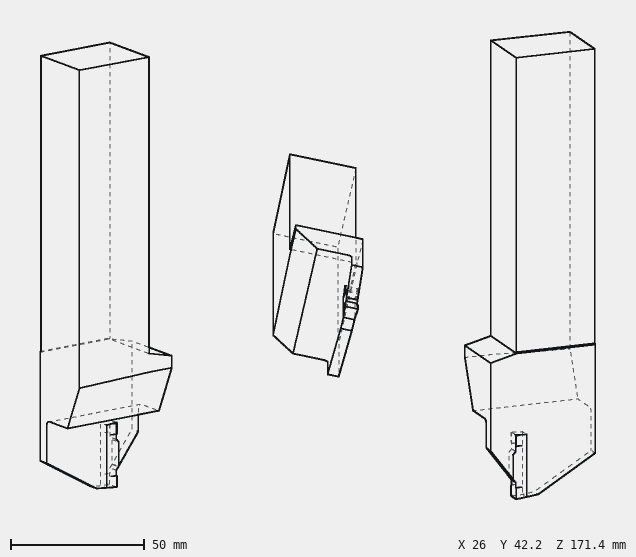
import cadquery as cq


total_length = 171.4
shank_depth = 31.7
head_depth = 42.2
side_overhang = 0.43
overall_width = 26.0
holder_width = overall_width - side_overhang
side_draft = 0.5
shank_setback = 0.43

shoulder_z = 56.5
head_front_top_z = 54.0
head_front_bottom_z = 19.9
head_back_bottom_z = 14.4
blade_tip_y = 23.0
blade_tip_z = 0.9
blade_thickness = 4.3
blade_root_z = 30.8
blade_root_radius = 1.7
side_slope_top_z = 49.3
side_slope_bottom_x = 17.5

insert_length = 25.0
insert_back_y = 27.6
insert_edge_y = 32.0
insert_middle_y = 33.0
insert_end_relief = 0.3
rise_start_z = 6.5
rise_end_z = 7.7
corner_chamfer = 0.3
back_overhang = 0.3
cutting_length = 4.5
relief_end_y = 28.3
relief_inner_y = 29.6


def extrude_side_outline(points, x_start, x_end):
    """Extrude a (Y, Z) outline between two X positions."""
    return cq.Workplane("YZ", origin=(x_start, 0, 0)).polyline(points).close().extrude(x_end - x_start)


def make_insert_blank():
    """Flat insert with a raised middle, symmetrical about its half length."""
    outline = [
        (insert_back_y, insert_end_relief),
        (insert_edge_y, 0),
        (insert_edge_y, rise_start_z),
        (insert_middle_y, rise_end_z),
        (insert_middle_y, insert_length - rise_end_z),
        (insert_edge_y, insert_length - rise_start_z),
        (insert_edge_y, insert_length),
        (insert_back_y, insert_length - insert_end_relief),
    ]
    return extrude_side_outline(outline, 0, blade_thickness)


def cutting_section(relief_y, overhang):
    """Cross-section that widens from the insert sides to the cutting edge."""
    return [
        (0, relief_y),
        (blade_thickness, relief_y),
        (blade_thickness + overhang, insert_edge_y),
        (-overhang, insert_edge_y),
    ]


def make_cutting_head():
    """Wedge with side relief, trimmed to the sloping end of the insert."""
    wedge = (
        cq.Workplane("XY")
        .polyline(cutting_section(relief_end_y, side_overhang)).close()
        .workplane(offset=cutting_length)
        .polyline(cutting_section(relief_inner_y, back_overhang)).close()
        .loft(ruled=True, combine=True)
    )
    end_envelope = extrude_side_outline(
        [
            (insert_back_y, insert_end_relief),
            (insert_edge_y, 0),
            (insert_edge_y, cutting_length),
            (insert_back_y, cutting_length),
        ],
        -side_overhang,
        blade_thickness + side_overhang,
    )
    left = -side_overhang
    right = blade_thickness + side_overhang
    corner_envelope = (
        cq.Workplane("XZ")
        .polyline([
            (left + corner_chamfer, 0),
            (right - corner_chamfer, 0),
            (right, corner_chamfer),
            (right, cutting_length),
            (left, cutting_length),
            (left, corner_chamfer),
        ])
        .close()
        .extrude(-head_depth)
    )
    return wedge.intersect(end_envelope).intersect(corner_envelope)


def make_insert(blank):
    """Insert blank with a cutting head at both ends."""
    lower_head = make_cutting_head()
    upper_head = lower_head.mirror("XY", (0, 0, insert_length / 2))
    return blank.union(lower_head).union(upper_head)


def make_holder(insert_blank):
    """Shank, head and thin blade in one piece, with a pocket for the insert."""
    head = extrude_side_outline(
        [
            (0, head_back_bottom_z),
            (blade_tip_y, blade_tip_z),
            (insert_back_y, insert_end_relief),
            (insert_edge_y, rise_start_z),
            (head_depth, head_front_bottom_z),
            (head_depth, head_front_top_z),
            (shank_depth, shoulder_z),
            (0, shoulder_z),
        ],
        0,
        holder_width,
    )

    shank = (
        cq.Workplane("XZ")
        .polyline([
            (0, shoulder_z),
            (holder_width, shoulder_z),
            (holder_width, total_length),
            (shank_setback, total_length),
            (shank_setback, shoulder_z + shank_setback),
        ])
        .close()
        .extrude(-shank_depth)
    )

    width_profile = (
        cq.Workplane("XZ")
        .moveTo(0, 0)
        .lineTo(blade_thickness, 0)
        .lineTo(blade_thickness, blade_root_z - blade_root_radius)
        .radiusArc((blade_thickness + blade_root_radius, blade_root_z), blade_root_radius)
        .lineTo(side_slope_bottom_x, blade_root_z)
        .lineTo(holder_width, side_slope_top_z)
        .lineTo(holder_width, total_length)
        .lineTo(0, total_length)
        .close()
        .extrude(-head_depth)
    )
    draft_envelope = (
        cq.Workplane("XY")
        .polyline([
            (0, 0),
            (holder_width - side_draft, 0),
            (holder_width, shank_depth),
            (holder_width, head_depth),
            (0, head_depth),
        ])
        .close()
        .extrude(total_length)
    )
    return head.union(shank).intersect(width_profile).intersect(draft_envelope).cut(insert_blank)


insert_blank = make_insert_blank()
holder = make_holder(insert_blank)
insert = make_insert(insert_blank)

result = cq.Compound.makeCompound([holder.solids().val(), insert.solids().val()])